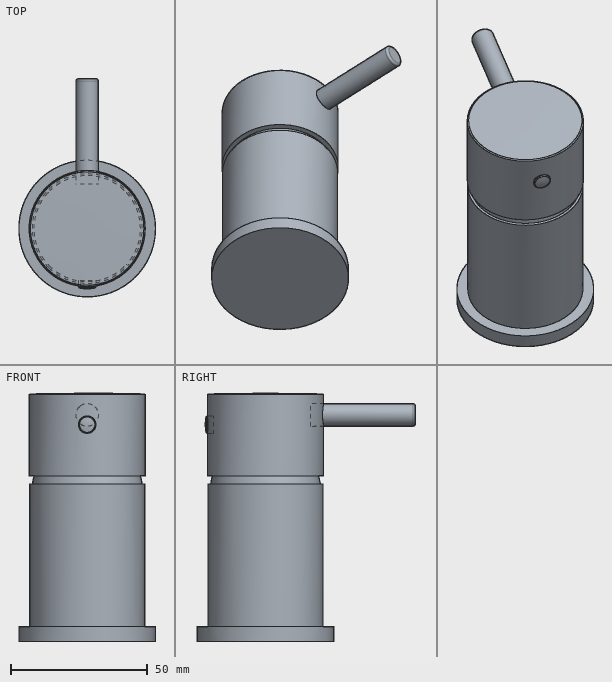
import cadquery as cq

total_height = 90.7

flange_diameter = 50.0
flange_height = 5.4

body_diameter = 42.1
body_top = 57.6

neck_base_diameter = 40.1
neck_top_diameter = 38.8
neck_bulge = 0.1

cap_bottom = 60.5
cap_diameter = 42.4
cap_bevel_width = 0.5
cap_bevel_height = 0.3
cap_dome_rise = 0.3

lever_diameter = 8.25
lever_axis_height = 82.7
lever_end_y = 54.7
lever_end_fillet = 0.9
lever_seat_y = 16.3

button_diameter = 6.35
button_axis_height = 79.2
button_tip_y = -22.0
button_seat_y = -19.0
button_bevel_width = 0.4
button_bevel_height = 0.4
button_dome_rise = 0.3


def make_domed_cylinder(diameter, height, bevel_width, bevel_height, dome_rise):
    """Cylinder along Z from Z = 0, with a beveled top edge and a shallow spherical top."""
    radius = diameter / 2
    dome_edge_radius = radius - bevel_width
    dome_edge_z = height - dome_rise
    dome_radius = (dome_edge_radius**2 + dome_rise**2) / (2 * dome_rise)
    return (
        cq.Workplane("XZ")
        .lineTo(radius, 0)
        .lineTo(radius, dome_edge_z - bevel_height)
        .lineTo(dome_edge_radius, dome_edge_z)
        .radiusArc((0, height), -dome_radius)
        .close()
        .revolve(360, (0, 0, 0), (0, 1, 0))
    )


def make_flange():
    return cq.Workplane("XY").circle(flange_diameter / 2).extrude(flange_height)


def make_body():
    return (
        cq.Workplane("XY")
        .workplane(offset=flange_height)
        .circle(body_diameter / 2)
        .extrude(body_top - flange_height)
    )


def make_neck():
    """Revolved ring whose side narrows upward along a shallow arc."""
    base_radius = neck_base_diameter / 2
    top_radius = neck_top_diameter / 2
    middle_radius = (base_radius + top_radius) / 2 + neck_bulge
    middle_z = (body_top + cap_bottom) / 2
    return (
        cq.Workplane("XZ")
        .moveTo(0, body_top)
        .lineTo(base_radius, body_top)
        .threePointArc((middle_radius, middle_z), (top_radius, cap_bottom))
        .lineTo(0, cap_bottom)
        .close()
        .revolve(360, (0, 0, 0), (0, 1, 0))
    )


def make_lever():
    """Round rod along Y with a rounded outer end."""
    return (
        cq.Workplane("XZ", origin=(0, lever_seat_y, lever_axis_height))
        .circle(lever_diameter / 2)
        .extrude(lever_seat_y - lever_end_y)
        .faces(">Y")
        .edges()
        .fillet(lever_end_fillet)
    )


def make_button():
    """Short domed pin turned so that its dome faces -Y."""
    upright = make_domed_cylinder(
        button_diameter,
        button_seat_y - button_tip_y,
        button_bevel_width,
        button_bevel_height,
        button_dome_rise,
    )
    facing_front = upright.rotate((0, 0, 0), (1, 0, 0), 90)
    return facing_front.translate((0, button_seat_y, button_axis_height))


def make_cap(seated_bodies):
    """Domed cap with a matching seat for each given body."""
    cap = make_domed_cylinder(
        cap_diameter,
        total_height - cap_bottom,
        cap_bevel_width,
        cap_bevel_height,
        cap_dome_rise,
    ).translate((0, 0, cap_bottom))
    for seated_body in seated_bodies:
        cap = cap.cut(seated_body)
    return cap


flange = make_flange()
body = make_body()
neck = make_neck()
lever = make_lever()
button = make_button()
cap = make_cap([lever, button])

bodies = [flange, body, neck, cap, lever, button]
result = cq.Compound.makeCompound([shape.solids().val() for shape in bodies])